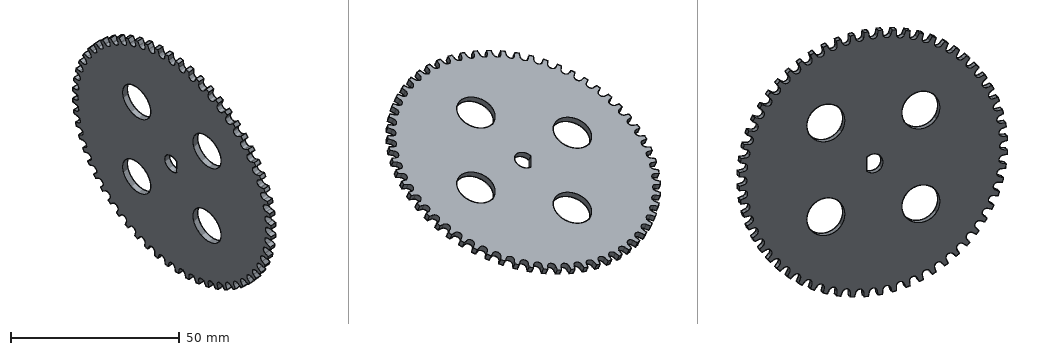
import cadquery as cq
import math

overall_size = 84.9
thickness = 2.0

tooth_count = 60
gap_floor_radius = 40.0
gap_round_radius = 1.3
gap_mouth_width = 3.05

hole_diameter = 12.0
hole_offset = 15.0

bore_diameter = 6.0
bore_flat_offset = 2.0

cutter_length = 2 * thickness

mouth_height = overall_size / 2
mouth_half_width = gap_mouth_width / 2
rim_radius = math.hypot(mouth_height, mouth_half_width)


def plane_in_front(length):
    """XZ workplane placed so that extruding by -length centres the body on Y = 0."""
    return cq.Workplane("XZ", origin=(0, -length / 2, 0))


def make_disc():
    return plane_in_front(thickness).circle(rim_radius).extrude(-thickness)


def make_tooth_gap():
    """Cutter for the gap at +Z: straight flanks running tangent into a round floor."""
    round_centre = gap_floor_radius + gap_round_radius
    corner_rise = mouth_height - round_centre
    corner_distance = math.hypot(mouth_half_width, corner_rise)
    corner_angle = math.atan2(corner_rise, mouth_half_width)
    tangent_angle = corner_angle - math.acos(gap_round_radius / corner_distance)
    tangent_x = gap_round_radius * math.cos(tangent_angle)
    tangent_z = round_centre + gap_round_radius * math.sin(tangent_angle)
    top = rim_radius + gap_round_radius
    return (
        plane_in_front(cutter_length)
        .moveTo(-mouth_half_width, top)
        .lineTo(-mouth_half_width, mouth_height)
        .lineTo(-tangent_x, tangent_z)
        .threePointArc((0, gap_floor_radius), (tangent_x, tangent_z))
        .lineTo(mouth_half_width, mouth_height)
        .lineTo(mouth_half_width, top)
        .close()
        .extrude(-cutter_length)
    )


def make_lightening_holes():
    return (
        plane_in_front(cutter_length)
        .rect(2 * hole_offset, 2 * hole_offset, forConstruction=True)
        .vertices()
        .circle(hole_diameter / 2)
        .extrude(-cutter_length)
    )


def make_shaft_bore():
    bore_radius = bore_diameter / 2
    flat_half_height = math.sqrt(bore_radius**2 - bore_flat_offset**2)
    return (
        plane_in_front(cutter_length)
        .moveTo(bore_flat_offset, flat_half_height)
        .threePointArc((-bore_radius, 0), (bore_flat_offset, -flat_half_height))
        .close()
        .extrude(-cutter_length)
    )


result = make_disc().cut(make_lightening_holes()).cut(make_shaft_bore())

tooth_gap = make_tooth_gap()
for index in range(tooth_count):
    gap_angle = index * 360 / tooth_count
    result = result.cut(tooth_gap.rotate((0, 0, 0), (0, 1, 0), gap_angle))